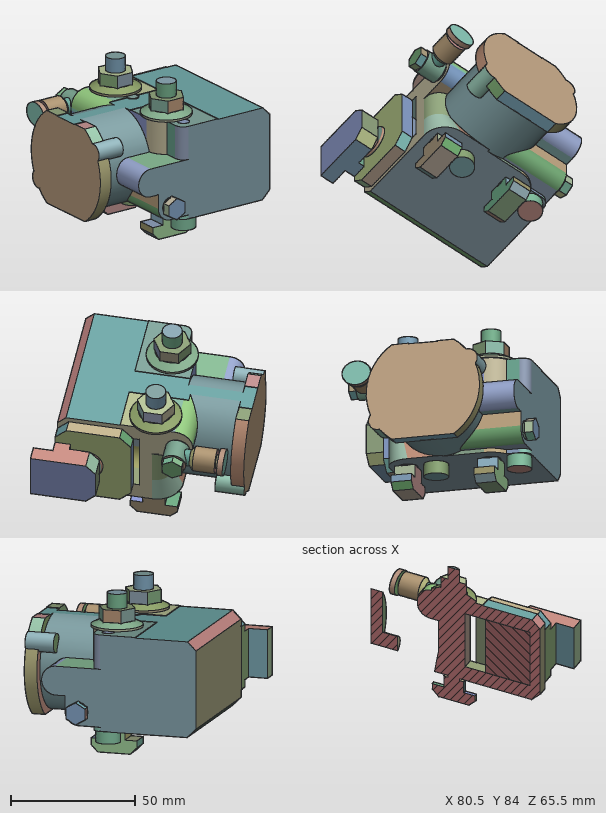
import cadquery as cq
import math


LENGTH = 59.9
BACK_Y = 76.0
HEIGHT = 39.8
MID_Z = HEIGHT / 2
BACK_CHAMFER = 3.8
PAD_STEP = 0.25
PAD_BACK_Y = 50.3
PAD_GAP = 12.1

SCREW_PITCH = 34.9
SCREW_Y = 37.2
COLUMN_R = 7.6
BOSS_R = 9.6
LEFT_SCREW_X = COLUMN_R
RIGHT_SCREW_X = LEFT_SCREW_X + SCREW_PITCH
SCREW_XS = (LEFT_SCREW_X, RIGHT_SCREW_X)
STUD_R = 4.0
STUD_TOP = 13.95
WASHER_R = 10.5
WASHER_RIM = 0.9
WASHER_TOP_R = 7.0
WASHER_HEIGHT = 2.8
NUT_FLATS = 13.1
NUT_TOP = 7.9
DOWEL_OFFSET = 11.85
DOWEL_R = 2.4
DOWEL_RISE = 0.1
SLEEVE_R = 5.0
SLEEVE_DEPTH = 5.2

TNUT_WIDTH = 8.6
TNUT_STEM = 9.15
TNUT_HEAD = 19.3
TNUT_TOP = 0.7
TNUT_SHOULDER = 6.05
TNUT_DEPTH = 11.8
TNUT_CHAMFER = 2.85

CYL_X = LEFT_SCREW_X + SCREW_PITCH / 2
RIGHT_WALL_Y = 31.9
RIGHT_CORNER_R = 3.8
FLARE_R = 10.7
FLARE_HEIGHT = 10.7

NECK_R = 19.8
FLANGE_R = 23.8
FLANGE_THICK = 5.4
LUG_R = 3.95
LUG_LENGTH = 12.0
LUG_DX = 18.9
LUG_DZ = 11.3

PORT_Y = 26.6
PORT_R = 5.9
PORT_FRONT_Y = PORT_Y - PORT_R
LEFT_PORT_Z = 31.5
RIGHT_PORT_Z = 7.6
LEFT_PORT_TOP_R = 7.05
NOSE_Y = 16.9
NOSE_R = 6.0
NOSE_Z = 19.65

HEX_FLATS = 8.0
FITTING_NECK_R = 3.8
PLUG_NECK = 0.8
PLUG_END = 4.5
BARREL_START = 0.9
BARREL_END = 9.8
BARREL_R = 4.95
FITTING_HEX_END = 13.0
BRANCH_X = -4.95
BRANCH_NECK_R = 3.4
BRANCH_R = 5.0
BRANCH_CONE_Y = 20.5
BRANCH_BODY_Y = 18.9
BRANCH_BODY_END_Y = 9.9
BRANCH_GROOVE_R = 2.8
COLLAR_BACK_Y = 8.8
COLLAR_FRONT_Y = 6.5
COLLAR_RX = 6.0
COLLAR_RZ = 4.95

GUIDE_WIDTH = 25.9
GUIDE_DEPTH = 15.1
GUIDE_R = 6.05
SLOT_FRONT_Y = 42.4
KEY_FRONT_Y = 51.4
PLATE_THICK = 5.1
PLATE_FRONT_Y = 44.9
PLATE_HEIGHT = 35.1
PLATE_CHAMFER = 4.6
GUIDE_BACK_Y = BACK_Y - PLATE_CHAMFER
HEAD_END = 16.05
HEAD_ROOT = 7.9
HEAD_TIP_ROOT = 9.8
HEAD_HEIGHT = 20.1
HEAD_FRONT_Y = 57.3
HEAD_CHAMFER = 4.0
HEAD_TIP_Y = 84.0
WEB_FRONT_Y = 69.6
SHAFT_Y = 63.3
SHAFT_R = 6.0
SHAFT_FLAT_Y = 59.55
BUSH_R = 7.0
BUSH_THICK = 0.8
BUSH_ROUND = 0.5


def box(x0, x1, y0, y1, z0, z1):
    return cq.Workplane().box(x1 - x0, y1 - y0, z1 - z0, centered=False).translate((x0, y0, z0))


def rod_x(radius, x0, x1, y, z):
    return cq.Workplane("YZ", origin=(x0, 0, 0)).center(y, z).circle(radius).extrude(x1 - x0)


def rod_y(radius, y0, y1, x, z):
    return cq.Workplane("XZ", origin=(0, y0, 0)).center(x, z).circle(radius).extrude(y0 - y1)


def rod_z(radius, z0, z1, x, y):
    return cq.Workplane("XY", origin=(0, 0, z0)).center(x, y).circle(radius).extrude(z1 - z0)


def hexagon_x(x0, x1, y, z):
    """Hexagonal head along X with two corners pointing up and down."""
    corners = HEX_FLATS / math.cos(math.pi / 6)
    head = cq.Workplane("YZ").polygon(6, corners).extrude(x1 - x0)
    return head.rotate((0, 0, 0), (1, 0, 0), 90).translate((x0, y, z))


def arc_point(cx, cy, radius, degrees):
    angle = math.radians(degrees)
    return (cx + radius * math.cos(angle), cy + radius * math.sin(angle))


def column_outline(work, radius):
    """Wall around the left screw, touching X = 0 and running on to the cylinder axis."""
    front_y = SCREW_Y - radius
    return (
        work.moveTo(0, SCREW_Y)
        .threePointArc(arc_point(radius, SCREW_Y, radius, 225), (radius, front_y))
        .lineTo(CYL_X, front_y)
        .lineTo(CYL_X, SCREW_Y)
        .close()
    )


def block():
    left = column_outline(cq.Workplane(), COLUMN_R).extrude(HEIGHT)

    flare = column_outline(cq.Workplane(), FLARE_R)
    flare = column_outline(flare.workplane(offset=FLARE_HEIGHT), COLUMN_R).loft(ruled=True)

    boss_angle = math.degrees(math.asin((RIGHT_WALL_Y - SCREW_Y) / BOSS_R))
    boss_middle = arc_point(RIGHT_SCREW_X, SCREW_Y, BOSS_R, (boss_angle - 90) / 2)
    corner_x = LENGTH - RIGHT_CORNER_R
    corner_y = RIGHT_WALL_Y + RIGHT_CORNER_R
    right = (
        cq.Workplane()
        .moveTo(CYL_X, SCREW_Y)
        .lineTo(CYL_X, SCREW_Y - BOSS_R)
        .lineTo(RIGHT_SCREW_X, SCREW_Y - BOSS_R)
        .threePointArc(boss_middle, arc_point(RIGHT_SCREW_X, SCREW_Y, BOSS_R, boss_angle))
        .lineTo(corner_x, RIGHT_WALL_Y)
        .threePointArc(arc_point(corner_x, corner_y, RIGHT_CORNER_R, -45), (LENGTH, corner_y))
        .lineTo(LENGTH, SCREW_Y)
        .close()
        .extrude(HEIGHT)
    )

    rear = box(0, LENGTH, SCREW_Y, BACK_Y, 0, HEIGHT)
    return rear.union(left).union(flare).union(right)


def left_port_boss():
    top_z = HEIGHT - LEFT_PORT_TOP_R
    top_y = PORT_FRONT_Y + LEFT_PORT_TOP_R
    return (
        cq.Workplane("YZ")
        .moveTo(SCREW_Y, HEIGHT)
        .lineTo(top_y, HEIGHT)
        .threePointArc(arc_point(top_y, top_z, LEFT_PORT_TOP_R, 135), (PORT_FRONT_Y, top_z))
        .lineTo(PORT_FRONT_Y, LEFT_PORT_Z)
        .threePointArc(arc_point(PORT_Y, LEFT_PORT_Z, PORT_R, 225), (PORT_Y, LEFT_PORT_Z - PORT_R))
        .lineTo(SCREW_Y, LEFT_PORT_Z - PORT_R)
        .close()
        .extrude(CYL_X)
    )


def right_port_boss():
    """Boss with a round nose, above the wall around the plug."""
    return (
        cq.Workplane("YZ", origin=(CYL_X, 0, 0))
        .moveTo(SCREW_Y, NOSE_Z + NOSE_R)
        .lineTo(NOSE_Y, NOSE_Z + NOSE_R)
        .threePointArc((NOSE_Y - NOSE_R, NOSE_Z), (NOSE_Y, NOSE_Z - NOSE_R))
        .lineTo(PORT_FRONT_Y, NOSE_Z - NOSE_R)
        .lineTo(PORT_FRONT_Y, RIGHT_PORT_Z)
        .threePointArc(arc_point(PORT_Y, RIGHT_PORT_Z, PORT_R, 225), (PORT_Y, RIGHT_PORT_Z - PORT_R))
        .lineTo(SCREW_Y, RIGHT_PORT_Z - PORT_R)
        .close()
        .extrude(LENGTH - CYL_X)
    )


def cylinder():
    neck = rod_y(NECK_R, 0, SCREW_Y, CYL_X, MID_Z)
    flange = rod_y(FLANGE_R, 0, FLANGE_THICK, CYL_X, MID_Z)
    body = neck.union(flange)
    for side in (-1, 1):
        body = body.union(rod_y(LUG_R, 0, LUG_LENGTH, CYL_X + side * LUG_DX, MID_Z + side * LUG_DZ))
    return body.intersect(box(0, LENGTH, 0, SCREW_Y, 0, HEIGHT))


def lowered_top():
    """Material above the strip between the pads and above the rear of the block."""
    floor = HEIGHT - PAD_STEP
    strip = box(CYL_X - PAD_GAP / 2, CYL_X + PAD_GAP / 2, 0, BACK_Y, floor, HEIGHT)
    return strip.union(box(0, LENGTH, PAD_BACK_Y, BACK_Y, floor, HEIGHT))


def screw(x):
    """Stud with a domed washer and nut on top and a T-slot nut below."""
    shank = rod_z(STUD_R, -TNUT_SHOULDER, HEIGHT + STUD_TOP, x, SCREW_Y)
    washer = (
        cq.Workplane("XZ")
        .polyline(
            [
                (0, 0),
                (WASHER_R, 0),
                (WASHER_R, WASHER_RIM),
                (WASHER_TOP_R, WASHER_HEIGHT),
                (0, WASHER_HEIGHT),
            ]
        )
        .close()
        .revolve(360, (0, 0), (0, 1))
        .translate((x, SCREW_Y, HEIGHT))
    )
    nut = cq.Workplane().polygon(6, NUT_FLATS / math.cos(math.pi / 6)).extrude(NUT_TOP)
    nut = nut.rotate((0, 0, 0), (0, 0, 1), 90).translate((x, SCREW_Y, HEIGHT))
    return shank.union(washer).union(nut).union(t_nut(x))


def t_nut(x):
    x0 = x - TNUT_WIDTH / 2
    x1 = x + TNUT_WIDTH / 2
    stem = box(x0, x1, SCREW_Y - TNUT_STEM / 2, SCREW_Y + TNUT_STEM / 2, -TNUT_SHOULDER, -TNUT_TOP)
    head = box(x0, x1, SCREW_Y - TNUT_HEAD / 2, SCREW_Y + TNUT_HEAD / 2, -TNUT_DEPTH, -TNUT_SHOULDER)
    return stem.union(head.edges("<Z and |X").chamfer(TNUT_CHAMFER))


def dowel(x):
    pin = rod_z(DOWEL_R, 0, HEIGHT + DOWEL_RISE, x, SCREW_Y)
    return pin.union(rod_z(SLEEVE_R, -SLEEVE_DEPTH, 0, x, SCREW_Y))


def plug():
    neck = rod_x(FITTING_NECK_R, LENGTH, LENGTH + PLUG_NECK, PORT_Y, RIGHT_PORT_Z)
    return neck.union(hexagon_x(LENGTH + PLUG_NECK, LENGTH + PLUG_END, PORT_Y, RIGHT_PORT_Z))


def elbow_fitting():
    neck = rod_x(FITTING_NECK_R, -BARREL_START, 0, PORT_Y, LEFT_PORT_Z)
    barrel = rod_x(BARREL_R, -BARREL_END, -BARREL_START, PORT_Y, LEFT_PORT_Z)
    head = hexagon_x(-FITTING_HEX_END, -BARREL_END, PORT_Y, LEFT_PORT_Z)
    branch = (
        cq.Workplane("XY")
        .polyline(
            [
                (0, PORT_Y),
                (BRANCH_NECK_R, PORT_Y),
                (BRANCH_NECK_R, BRANCH_CONE_Y),
                (BRANCH_R, BRANCH_BODY_Y),
                (BRANCH_R, BRANCH_BODY_END_Y),
                (BRANCH_GROOVE_R, BRANCH_BODY_END_Y),
                (BRANCH_GROOVE_R, COLLAR_BACK_Y),
                (0, COLLAR_BACK_Y),
            ]
        )
        .close()
        .revolve(360, (0, 0), (0, 1))
        .translate((BRANCH_X, 0, LEFT_PORT_Z))
    )
    collar = (
        cq.Workplane("XZ", origin=(BRANCH_X, COLLAR_BACK_Y, LEFT_PORT_Z))
        .ellipse(COLLAR_RX, COLLAR_RZ)
        .extrude(COLLAR_BACK_Y - COLLAR_FRONT_Y)
    )
    return neck.union(barrel).union(head).union(branch).union(collar)


def guide(y0, y1):
    """Rail along Y with rounded inner edges, reaching into the housing from X = 0."""
    low = MID_Z - GUIDE_WIDTH / 2
    rail = box(0, GUIDE_DEPTH, y0, y1, low, low + GUIDE_WIDTH)
    return rail.edges(">X and |Y").fillet(GUIDE_R)


def make_housing():
    body = block().edges(">Y and |X").chamfer(BACK_CHAMFER)
    body = body.union(left_port_boss()).union(right_port_boss()).union(cylinder())
    body = body.cut(lowered_top()).cut(guide(SLOT_FRONT_Y, GUIDE_BACK_Y))
    for x in SCREW_XS:
        body = body.union(dowel(x + DOWEL_OFFSET)).union(screw(x))
    return body.union(plug()).union(elbow_fitting())


def stopper_head():
    low = MID_Z - HEAD_HEIGHT / 2
    high = MID_Z + HEAD_HEIGHT / 2
    head = box(-HEAD_END, -HEAD_ROOT, HEAD_FRONT_Y, BACK_Y, low, high)
    head = head.edges("<Y and |X").chamfer(HEAD_CHAMFER)
    tip = box(-HEAD_END, -HEAD_TIP_ROOT, BACK_Y, HEAD_TIP_Y, low, high)
    web = box(-HEAD_ROOT, -PLATE_THICK, WEB_FRONT_Y, BACK_Y, low, high)
    return head.union(tip).union(web)


def stopper_shaft():
    shaft = rod_x(SHAFT_R, -HEAD_ROOT, -PLATE_THICK, SHAFT_Y, MID_Z)
    shaft = shaft.intersect(box(-HEAD_ROOT, 0, SHAFT_FLAT_Y, BACK_Y, 0, HEIGHT))
    bush = rod_x(BUSH_R, -PLATE_THICK - BUSH_THICK, -PLATE_THICK, SHAFT_Y, MID_Z)
    return shaft.union(bush.edges("<X").fillet(BUSH_ROUND))


def make_stopper():
    low = MID_Z - PLATE_HEIGHT / 2
    plate = box(-PLATE_THICK, 0, PLATE_FRONT_Y, BACK_Y, low, low + PLATE_HEIGHT)
    plate = plate.edges("|X").chamfer(PLATE_CHAMFER)
    key = guide(KEY_FRONT_Y, GUIDE_BACK_Y)
    return plate.union(key).union(stopper_shaft()).union(stopper_head())


housing = make_housing()
stopper = make_stopper()
result = cq.Compound.makeCompound([housing.solids().val(), stopper.solids().val()])